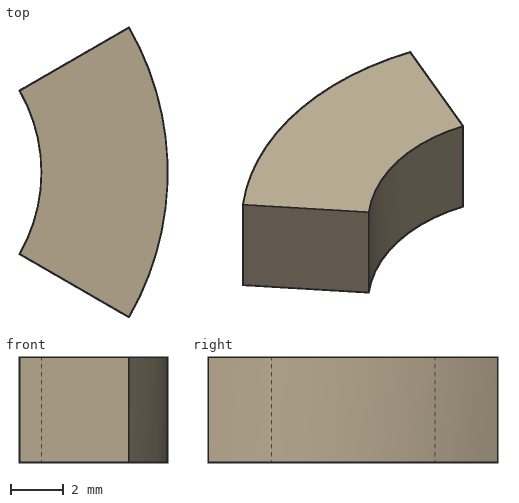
import cadquery as cq
import math

OUTER_RADIUS = 11.0
INNER_RADIUS = 6.2
HEIGHT = 4.0
SEGMENT_ANGLE = 60.0


def polar_point(radius, angle_degrees):
    """Return the XY point at the given radius and angle from +X."""
    angle = math.radians(angle_degrees)
    return (radius * math.cos(angle), radius * math.sin(angle))


def ring_segment():
    """Extrude the segment outline: two concentric arcs joined by radial ends."""
    half_angle = SEGMENT_ANGLE / 2
    return (
        cq.Workplane("XY")
        .moveTo(*polar_point(INNER_RADIUS, -half_angle))
        .lineTo(*polar_point(OUTER_RADIUS, -half_angle))
        .threePointArc(polar_point(OUTER_RADIUS, 0), polar_point(OUTER_RADIUS, half_angle))
        .lineTo(*polar_point(INNER_RADIUS, half_angle))
        .threePointArc(polar_point(INNER_RADIUS, 0), polar_point(INNER_RADIUS, -half_angle))
        .close()
        .extrude(HEIGHT)
    )


result = ring_segment()